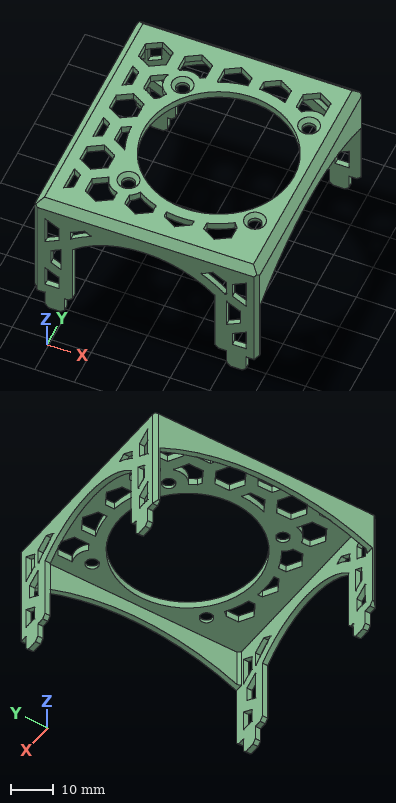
import cadquery as cq
import math

WIDTH = 56.9
LENGTH = 62.4
HEIGHT = 36.2

WALL = 1.5
PLATE = 2.0
TOP_CHAMFER = 2.0
SMALL_CHAMFER = 1.0
INNER_CHAMFER = 0.75
RIM = 3.0
ARCH_DROP = 6.0

TAB_HEIGHT = 5.0
TAB_WIDTH = 5.0
LEFT_LEG_WIDTH = 10.0
RIGHT_LEG_WIDTH = 11.0
ARCH_SPRING_DROP = 13.0

FAN_X = 5.5
FAN_Y = -0.7
FAN_DIAMETER = 37.9
SCREW_SPACING = 32.0
SCREW_DIAMETER = 3.3
SINK_DIAMETER = 5.3

HEX_FLATS = 7.0
HEX_PITCH = HEX_FLATS + RIM
ROW_PITCH = HEX_PITCH * math.sqrt(3) / 2
TOP_ROW_CELLS = (5, 2, 1, 2, 1, 5)
END_ROW_DROP = 9.2

LEFT = -WIDTH / 2
RIGHT = WIDTH / 2
INNER_LENGTH = LENGTH - 2 * WALL
LEFT_LEG_EDGE = LEFT + LEFT_LEG_WIDTH
RIGHT_LEG_EDGE = RIGHT - RIGHT_LEG_WIDTH
ARCH_X = (LEFT_LEG_EDGE + RIGHT_LEG_EDGE) / 2
ARCH_HALF_SPAN = (RIGHT_LEG_EDGE - LEFT_LEG_EDGE) / 2
ARCH_CROWN = HEIGHT - ARCH_DROP
ARCH_SPRING = HEIGHT - ARCH_SPRING_DROP
ARCH_RISE = ARCH_CROWN - ARCH_SPRING
ARCH_RADIUS = (ARCH_HALF_SPAN**2 + ARCH_RISE**2) / (2 * ARCH_RISE)


def box(x0, x1, y0, y1, z0, z1):
    return cq.Workplane("XY").box(x1 - x0, y1 - y0, z1 - z0, centered=False).translate((x0, y0, z0))


def through_y(profile):
    """Extrude an XZ profile along the whole length of the part."""
    return profile.extrude(LENGTH / 2, both=True)


def hexagon(workplane, x, y):
    """Outline of a cell with two sides parallel to the second axis of the workplane."""
    radius = HEX_FLATS / math.sqrt(3)
    angles = [math.radians(30 + 60 * i) for i in range(6)]
    points = [(x + radius * math.cos(a), y + radius * math.sin(a)) for a in angles]
    return workplane.polyline(points).close()


def make_shell():
    """Open-bottomed cover with bevelled top and bevelled vertical corners."""
    block = cq.Workplane("XY").box(WIDTH, LENGTH, HEIGHT, centered=(True, True, False))
    block = block.faces(">Z").chamfer(TOP_CHAMFER)
    corners = cq.Workplane("XY").rect(WIDTH, LENGTH).extrude(HEIGHT).edges("|Z").chamfer(SMALL_CHAMFER)
    half = INNER_LENGTH / 2
    cavity = box(LEFT + WALL, RIGHT - WALL, -half, half, 0, HEIGHT - PLATE)
    cavity = cavity.edges("|Z").chamfer(INNER_CHAMFER)
    return block.intersect(corners).cut(cavity)


def make_side_arch():
    """Opening below the side walls, arched between the inner faces of the end walls."""
    half = INNER_LENGTH / 2
    return (
        cq.Workplane("YZ")
        .moveTo(-half, 0)
        .lineTo(-half, ARCH_SPRING)
        .threePointArc((0, ARCH_CROWN), (half, ARCH_SPRING))
        .lineTo(half, 0)
        .close()
        .extrude(WIDTH / 2, both=True)
    )


def make_end_arch():
    """Opening between the legs of the end walls."""
    return through_y(
        cq.Workplane("XZ")
        .moveTo(LEFT_LEG_EDGE, 0)
        .lineTo(LEFT_LEG_EDGE, ARCH_SPRING)
        .threePointArc((ARCH_X, ARCH_CROWN), (RIGHT_LEG_EDGE, ARCH_SPRING))
        .lineTo(RIGHT_LEG_EDGE, 0)
        .close()
    )


def make_foot(leg_start, leg_end, tab_start):
    """Bevelled lower end of a leg together with the narrower tab below it."""
    leg = cq.Workplane("XZ").moveTo((leg_start + leg_end) / 2, (TAB_HEIGHT + HEIGHT) / 2)
    leg = through_y(leg.rect(leg_end - leg_start, HEIGHT - TAB_HEIGHT))
    tab = cq.Workplane("XZ").moveTo(tab_start + TAB_WIDTH / 2, HEIGHT / 2)
    tab = through_y(tab.rect(TAB_WIDTH, HEIGHT))
    leg = leg.faces("<Z").edges("|Y").chamfer(SMALL_CHAMFER)
    tab = tab.faces("<Z").edges("|Y").chamfer(SMALL_CHAMFER)
    return leg.union(tab)


def trim_feet(body):
    """Cut the lower part of both legs down to the foot outline."""
    foot_top = TAB_HEIGHT + RIM
    for start, end, tab_start in (
        (LEFT, LEFT_LEG_EDGE, LEFT + RIM),
        (RIGHT_LEG_EDGE, RIGHT, RIGHT - RIM - TAB_WIDTH),
    ):
        waste = box(start, end, -LENGTH / 2, LENGTH / 2, 0, foot_top)
        body = body.cut(waste.cut(make_foot(start, end, tab_start)))
    return body


def make_end_cells():
    """Honeycomb of the end walls, kept one rim away from the arch and the leg edges."""
    outer_left = LEFT + RIM
    outer_right = RIGHT - RIM
    inner_left = LEFT_LEG_EDGE - RIM
    inner_right = RIGHT_LEG_EDGE + RIM
    row_z = [HEIGHT - END_ROW_DROP - i * ROW_PITCH for i in range(3)]
    cells = (
        (outer_left, row_z[0]),
        (outer_left + HEX_PITCH, row_z[0]),
        (outer_left + HEX_PITCH / 2, row_z[1]),
        (outer_left, row_z[2]),
        (outer_right, row_z[0]),
        (inner_right - HEX_FLATS / 2, row_z[0]),
        (outer_right - HEX_PITCH / 2, row_z[1]),
        (outer_right, row_z[2]),
    )
    pattern = cq.Workplane("XZ")
    for x, z in cells:
        pattern = hexagon(pattern, x, z)

    half = LENGTH / 2
    window = box(outer_left, outer_right, -half, half, TAB_HEIGHT + RIM, HEIGHT - RIM)
    arch_rim = cq.Workplane("XZ").moveTo(ARCH_X, ARCH_CROWN - ARCH_RADIUS).circle(ARCH_RADIUS + RIM)
    arch_rim = through_y(arch_rim).intersect(box(LEFT, RIGHT, -half, half, ARCH_SPRING, HEIGHT))
    gap = box(inner_left, inner_right, -half, half, 0, ARCH_SPRING)
    return through_y(pattern).intersect(window).cut(arch_rim).cut(gap)


def screw_points():
    half = SCREW_SPACING / 2
    return [(FAN_X + i * half, FAN_Y + j * half) for i in (-1, 1) for j in (-1, 1)]


def plate_plane():
    """Fresh workplane on the underside of the top plate."""
    return cq.Workplane("XY", origin=(0, 0, HEIGHT - PLATE))


def make_top_cells():
    """Honeycomb of the top plate, kept one rim away from the fan opening and the screws."""
    first_x = -HEX_PITCH * (max(TOP_ROW_CELLS) - 1) / 2
    first_y = ROW_PITCH * (len(TOP_ROW_CELLS) - 1) / 2
    pattern = plate_plane()
    for row, cell_count in enumerate(TOP_ROW_CELLS):
        shift = -HEX_PITCH / 2 if row % 2 else 0
        for column in range(cell_count):
            pattern = hexagon(pattern, first_x + shift + column * HEX_PITCH, first_y - row * ROW_PITCH)

    cell_edge = first_x - HEX_FLATS / 2
    window = box(cell_edge, -cell_edge, -LENGTH / 2, LENGTH / 2, 0, HEIGHT)
    fan_rim = plate_plane().moveTo(FAN_X, FAN_Y).circle(FAN_DIAMETER / 2 + RIM).extrude(PLATE)
    screw_rims = plate_plane().pushPoints(screw_points()).circle(SCREW_DIAMETER / 2 + RIM).extrude(PLATE)
    return pattern.extrude(PLATE).intersect(window).cut(fan_rim).cut(screw_rims)


def cut_fan_mount(body):
    """Fan opening with four countersunk screw holes."""
    body = body.cut(plate_plane().moveTo(FAN_X, FAN_Y).circle(FAN_DIAMETER / 2).extrude(PLATE))
    return (
        body.copyWorkplane(cq.Workplane("XY", origin=(0, 0, HEIGHT)))
        .pushPoints(screw_points())
        .cskHole(SCREW_DIAMETER, SINK_DIAMETER, 90, depth=PLATE)
    )


result = make_shell().cut(make_side_arch()).cut(make_end_arch())
result = trim_feet(result)
result = result.cut(make_end_cells()).cut(make_top_cells())
result = cut_fan_mount(result)